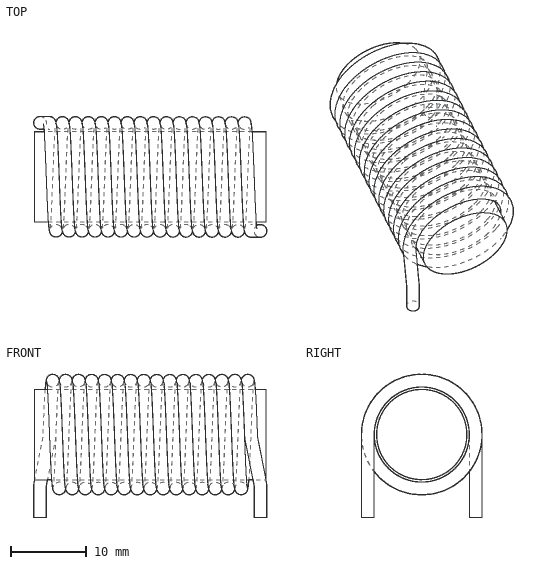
import cadquery as cq
import math

core_diameter = 12.0
core_length = 30.7
wire_diameter = 1.7
coil_outer_diameter = 16.0
coil_length = 26.7
coil_turns = 15.5
overall_length = 30.9
leg_bottom_z = -11.0
leg_length = 4.0
bend_radius = 3.4

wire_radius = wire_diameter / 2
coil_radius = (coil_outer_diameter - wire_diameter) / 2
coil_pitch = coil_length / coil_turns
coil_end_x = coil_length / 2
leg_x = overall_length / 2 - wire_radius
leg_top_z = leg_bottom_z + leg_length


def make_core():
    """Plain cylindrical rod centred inside the coil."""
    rod = cq.Workplane("YZ").circle(core_diameter / 2).extrude(core_length)
    return rod.translate((-core_length / 2, 0, 0)).val()


def make_helix():
    """Right-handed winding that starts at +Y on the -X end and finishes at -Y on the +X end."""
    path = cq.Wire.makeHelix(coil_pitch, coil_length, coil_radius)
    path = path.rotate(cq.Vector(0, 0, 0), cq.Vector(1, 1, 1), 120)
    path = path.translate(cq.Vector(-coil_end_x, 0, 0))
    profile = cq.Workplane("XY").center(-coil_end_x, coil_radius).circle(wire_radius)
    return profile.sweep(cq.Workplane(path), isFrenet=True)


def make_lead():
    """Lead at the +X end: bend outward, sloping straight, bend back and vertical leg."""
    offset = leg_x - coil_end_x
    drop = -leg_top_z

    centre_gap_x = 2 * bend_radius - offset
    slope_length = math.sqrt(centre_gap_x**2 + drop**2 - (2 * bend_radius)**2)
    tilt = math.atan2(2 * bend_radius, slope_length) - math.atan2(centre_gap_x, drop)

    def bend_offset(angle):
        """Sideways and downward travel after turning through an angle from vertical."""
        return bend_radius * (1 - math.cos(angle)), bend_radius * math.sin(angle)

    mid_x, mid_z = bend_offset(tilt / 2)
    end_x, end_z = bend_offset(tilt)
    path = (
        cq.Workplane("XZ", origin=(0, -coil_radius, 0))
        .moveTo(coil_end_x, 0)
        .threePointArc((coil_end_x + mid_x, -mid_z), (coil_end_x + end_x, -end_z))
        .lineTo(leg_x - end_x, leg_top_z + end_z)
        .threePointArc((leg_x - mid_x, leg_top_z + mid_z), (leg_x, leg_top_z))
        .lineTo(leg_x, leg_bottom_z)
    )
    return cq.Workplane("XY").center(coil_end_x, -coil_radius).circle(wire_radius).sweep(path)


def make_winding():
    """One continuous wire: the helix with a lead at each end, half a turn about Z apart."""
    lead = make_lead()
    winding = make_helix()
    for angle in (0, 180):
        winding = winding.union(lead.rotate((0, 0, 0), (0, 0, 1), angle))
    return winding.val()


core = make_core()
winding = make_winding()

result = cq.Compound.makeCompound([core, *winding.Solids()])